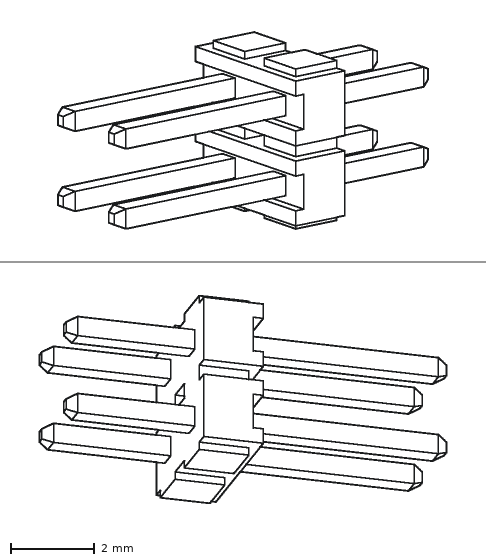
import cadquery as cq

pitch = 2.0
columns = 2
rows = 2

end_trim = 0.06
bar_length = columns * pitch - end_trim
bar_height = 1.62
base_depth = 1.25
rail_height = 0.375
rail_depth = 0.25
bar_depth = base_depth + rail_depth
channel_height = bar_height - 2 * rail_height

standoff_width = 1.24
standoff_height = rows * pitch

pin_width = 0.5
point_length = 0.25
point_end_width = 0.21
point_end_height = 0.265
back_reach = 3.2
front_reach = 4.88
pin_offset = -0.01

pin_back = back_reach
pin_front = -bar_depth - front_reach

column_positions = [(i - (columns - 1) / 2) * pitch for i in range(columns)]
row_positions = [(i - (rows - 1) / 2) * pitch for i in range(rows)]
bar_left = -columns * pitch / 2


def box(x_start, x_size, y_start, y_end, z_center, z_size):
    """Block given by its X start and size, its Y ends, and its Z center and size."""
    return cq.Workplane("XY").box(x_size, y_end - y_start, z_size, centered=False).translate(
        (x_start, y_start, z_center - z_size / 2)
    )


def make_bar(z):
    """Row bar whose front carries two rails with a channel between them."""
    bar = box(bar_left, bar_length, -bar_depth, 0, z, bar_height)
    channel = box(bar_left, bar_length, -bar_depth, -base_depth, z, channel_height)
    return bar.cut(channel)


def make_standoff(x):
    """Block joining the bars and standing proud of them at top and bottom."""
    return box(x - standoff_width / 2, standoff_width, -base_depth, 0, 0, standoff_height)


def make_point(x, z, y_root, direction):
    """Tapered pin point growing from y_root toward +Y (direction 1) or -Y (direction -1)."""
    return (
        cq.Workplane("XZ", origin=(x, y_root, z))
        .rect(pin_width, pin_width)
        .workplane(offset=-direction * point_length)
        .rect(point_end_width, point_end_height)
        .loft(ruled=True)
    )


def make_pin(x, z):
    """Square pin pointed at both ends."""
    shank_front = pin_front + point_length
    shank_back = pin_back - point_length
    shank = box(x - pin_width / 2, pin_width, shank_front, shank_back, z, pin_width)
    front_point = make_point(x, z, shank_front, -1)
    back_point = make_point(x, z, shank_back, 1)
    return shank.union(front_point).union(back_point)


result = make_standoff(column_positions[0])
for x in column_positions[1:]:
    result = result.union(make_standoff(x))
for z in row_positions:
    result = result.union(make_bar(z))
for x in column_positions:
    for z in row_positions:
        result = result.union(make_pin(x + pin_offset, z))